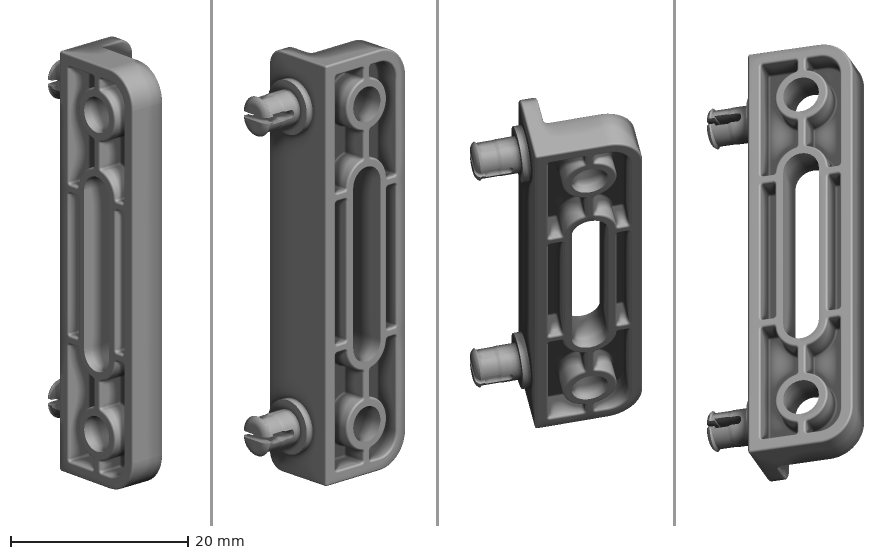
import cadquery as cq
import math

length = 50.2
width = 12.4
depth = 9.4
block_depth = 4.6
leg_thickness = 2.0
block_corner_radius = 4.0
leg_corner_radius = 2.0
inner_corner_radius = 0.5
edge_radius = 0.25

hole_x = 6.35
hole_z = 19.1
hole_radius = 2.1
slot_center_z = 9.55
boss_radius = hole_radius + 1.0

rim = 1.5
rib_thickness = 1.0
cross_rib_z = 9.05
pocket_depth = 3.1
pocket_corner_radius = 0.3

pin_y = 5.4
pin_z = 19.1
pin_length = 6.1
pin_embedment = 0.25
flange_radius = 3.2
flange_length = 0.9
root_radius = 2.1
root_length = 3.05
neck_radius = 2.05
neck_length = 3.45
root_flat_width = 0.6
neck_flat_width = 0.9
head_radius = 2.1
head_offset = 0.25
head_length = 0.55
head_back_length = 0.25
tip_radius = 1.2

slit_mouth = 0.7
slit_mouth_length = 1.1
slit_width = 1.2
slit_end_width = 1.0
slit_length = 4.25
slit_end_radius = 0.4


def make_bracket():
    """L-shaped body with rounded corners."""
    body = (
        cq.Workplane("XY")
        .polyline([
            (0, 0), (width, 0), (width, block_depth),
            (leg_thickness, block_depth), (leg_thickness, depth), (0, depth),
        ])
        .close()
        .extrude(length)
        .translate((0, 0, -length / 2))
    )
    inner_corner = cq.NearestToPointSelector((leg_thickness, block_depth, 0))
    body = body.edges(inner_corner).fillet(inner_corner_radius)
    body = body.faces(">X").edges("|Y").fillet(block_corner_radius)
    return body.faces(">Y").edges("|X").fillet(leg_corner_radius)


def face_plane():
    """Sketch plane on Y = 0 whose extrusions run into the block."""
    return cq.Workplane("XZ")


def slot_prism(radius, prism_depth):
    """Slot-shaped prism around the adjustment slot."""
    return (
        face_plane()
        .center(hole_x, 0)
        .slot2D(2 * (slot_center_z + radius), 2 * radius, 90)
        .extrude(-prism_depth)
    )


def hole_prism(radius, prism_depth):
    """Cylinders around both screw holes."""
    return (
        face_plane()
        .pushPoints([(hole_x, hole_z), (hole_x, -hole_z)])
        .circle(radius)
        .extrude(-prism_depth)
    )


def make_pockets():
    """Hollow inside the rim, divided by the bosses and ribs."""
    pockets = (
        face_plane()
        .center(width / 2, 0)
        .rect(width - 2 * rim, length - 2 * rim)
        .extrude(-pocket_depth)
        .faces(">X").edges("|Y").fillet(block_corner_radius - rim)
    )
    long_rib = face_plane().center(hole_x, 0).rect(rib_thickness, length).extrude(-pocket_depth)
    cross_ribs = (
        face_plane()
        .center(width / 2, 0)
        .pushPoints([(0, cross_rib_z), (0, -cross_rib_z)])
        .rect(width, rib_thickness)
        .extrude(-pocket_depth)
    )
    for standing in (
        long_rib,
        cross_ribs,
        hole_prism(boss_radius, pocket_depth),
        slot_prism(boss_radius, pocket_depth),
    ):
        pockets = pockets.cut(standing)
    return pockets.edges("|Y").fillet(pocket_corner_radius)


def make_pin():
    """Split snap pin along -X, with its axis through the origin."""
    shoulder = head_length - pin_length
    shaft = (
        cq.Workplane("XY")
        .polyline([
            (pin_embedment, 0), (pin_embedment, root_radius), (-root_length, root_radius),
            (-neck_length, neck_radius), (shoulder, neck_radius), (shoulder, 0),
        ])
        .close()
        .revolve(360, (0, 0, 0), (1, 0, 0))
    )
    root_flat = math.sqrt(root_radius**2 - (root_flat_width / 2) ** 2)
    neck_flat = math.sqrt(neck_radius**2 - (neck_flat_width / 2) ** 2)
    flats = (
        cq.Workplane("XZ")
        .polyline([
            (pin_embedment, root_flat), (-root_length, root_flat),
            (-neck_length, neck_flat), (shoulder, neck_flat),
            (shoulder, -neck_flat), (-neck_length, -neck_flat),
            (-root_length, -root_flat), (pin_embedment, -root_flat),
        ])
        .close()
        .extrude(root_radius, both=True)
    )
    pin = shaft.intersect(flats)

    back = shoulder + head_back_length
    dome_rise = head_radius - tip_radius
    dome_radius = (dome_rise**2 + head_length**2) / (2 * head_length)
    head = (
        cq.Workplane("XY")
        .moveTo(back, 0)
        .lineTo(-pin_length, 0)
        .lineTo(-pin_length, tip_radius)
        .radiusArc((shoulder, head_radius), dome_radius)
        .lineTo(back, head_radius - head_offset)
        .close()
        .revolve(360, (0, 0, 0), (1, 0, 0))
    )
    half_height = 2 * head_radius
    half_space = cq.Workplane("XY").box(3 * pin_length, 4 * head_radius, half_height)
    for side in (1, -1):
        half = head.translate((0, 0, side * head_offset))
        pin = pin.union(half.intersect(half_space.translate((0, 0, side * half_height / 2))))

    flange = (
        cq.Workplane("YZ", origin=(pin_embedment, 0, 0))
        .circle(flange_radius)
        .extrude(-pin_embedment - flange_length)
    )
    return pin.cut(make_slit()).union(flange)


def make_slit():
    """Slit through the pin along Y: narrow mouth, wide middle, rounded end."""
    mouth_end = slit_mouth_length - pin_length
    end = slit_length - pin_length
    outside = -pin_length - slit_mouth_length
    half = [
        (outside, slit_mouth / 2), (mouth_end, slit_mouth / 2), (mouth_end, slit_width / 2),
        (-neck_length, slit_width / 2), (-root_length, slit_end_width / 2), (end, slit_end_width / 2),
    ]
    mirrored = [(x, -z) for x, z in reversed(half)]
    return (
        cq.Workplane("XZ")
        .polyline(half + mirrored)
        .close()
        .extrude(2 * head_radius, both=True)
        .faces(">X").edges("|Y").fillet(slit_end_radius)
    )


def soften(body):
    """Round the outer edges and the pocket rims, then the edges of the pocket floors."""
    body = body.faces("<Y or <X or >Y").edges().fillet(edge_radius)
    near_floor = edge_radius / 4
    pocket_floor = cq.selectors.BoxSelector(
        (0, pocket_depth - near_floor, -length / 2), (width, pocket_depth + near_floor, length / 2)
    )
    return body.edges(pocket_floor).fillet(edge_radius)


bracket = soften(make_bracket().cut(make_pockets()))
bracket = bracket.cut(hole_prism(hole_radius, block_depth))
bracket = bracket.cut(slot_prism(hole_radius, block_depth))

pin = make_pin()
result = bracket
for side in (1, -1):
    result = result.union(pin.translate((0, pin_y, side * pin_z)))